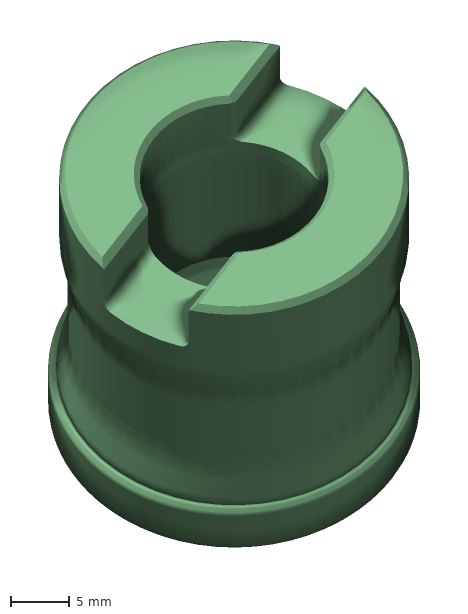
import cadquery as cq
import math

TOTAL_HEIGHT = 32.0
DISC_HEIGHT = 5.5

DISC_DIAMETER = 31.95
DISC_TOP_CHAMFER = 0.48
DISC_TOP_ROUNDING = 0.4
DISC_BOTTOM_CHAMFER = 0.5
DISC_BOTTOM_ROUNDING = 0.5

HEAD_DIAMETER = 30.0
WAIST_DIAMETER = 28.55
FOOT_DIAMETER = 30.53
FOOT_LAND_TOP = 5.9
HEAD_LAND_BOTTOM = 23.52
RIM_CHAMFER = 0.5
FOOT_TAPER_ANGLE = 15.0
FOOT_ROUNDING = 2.0
HEAD_TAPER_ANGLE = 12.0
HEAD_ROUNDING = 5.0
WAIST_ROUNDING = 10.0

SLOT_WIDTH = 8.5
SLOT_DEPTH = 5.75
SLOT_CHAMFER = 0.6
SLOT_FLOOR_ROUNDING = 0.8
SLOT_MOUTH_ROUNDING = 1.0
SLOT_OVERRUN = 1.6

MOUTH_DIAMETER = 16.2
MOUTH_CHAMFER = 0.5
MOUTH_DEPTH = 5.85
BORE_DIAMETER = 16.0
LEAD_IN_HEIGHT = 1.2
FLOOR_CONE_DIAMETER = 14.6
FLOOR_CONE_ANGLE = 30.0
FLOOR_ROUNDING = 0.5
FLOOR_THICKNESS = 4.48
HOLE_DIAMETER = 8.4
HOLE_CHAMFER = 0.5

SLOT_FLOOR_Z = TOTAL_HEIGHT - SLOT_DEPTH
BORE_FLOOR_Z = DISC_HEIGHT + FLOOR_THICKNESS


def arc_size(radius, angle):
    """Radial width and height of an arc that turns from vertical by the angle."""
    turn = math.radians(angle)
    return radius * (1 - math.cos(turn)), radius * math.sin(turn)


def cone_height(outer_diameter, width_of_arcs, angle):
    """Height of the cone that spans what the two arcs leave of the step to the waist."""
    step = (outer_diameter - WAIST_DIAMETER) / 2
    return (step - width_of_arcs) / math.tan(math.radians(angle))


def make_housing_blank():
    """Solid of revolution: foot land, lower taper, waist, upper taper, head."""
    foot_r = FOOT_DIAMETER / 2
    waist_r = WAIST_DIAMETER / 2
    head_r = HEAD_DIAMETER / 2

    foot_arc_w, foot_arc_h = arc_size(FOOT_ROUNDING, FOOT_TAPER_ANGLE)
    low_arc_w, low_arc_h = arc_size(WAIST_ROUNDING, FOOT_TAPER_ANGLE)
    low_cone_h = cone_height(FOOT_DIAMETER, foot_arc_w + low_arc_w, FOOT_TAPER_ANGLE)
    low_cone_bottom = FOOT_LAND_TOP + foot_arc_h
    low_cone_top = low_cone_bottom + low_cone_h

    head_arc_w, head_arc_h = arc_size(HEAD_ROUNDING, HEAD_TAPER_ANGLE)
    high_arc_w, high_arc_h = arc_size(WAIST_ROUNDING, HEAD_TAPER_ANGLE)
    high_cone_h = cone_height(HEAD_DIAMETER, head_arc_w + high_arc_w, HEAD_TAPER_ANGLE)
    high_cone_top = HEAD_LAND_BOTTOM - head_arc_h
    high_cone_bottom = high_cone_top - high_cone_h

    profile = (
        cq.Workplane("XZ")
        .moveTo(0, DISC_HEIGHT)
        .lineTo(foot_r, DISC_HEIGHT)
        .lineTo(foot_r, FOOT_LAND_TOP)
        .tangentArcPoint((foot_r - foot_arc_w, low_cone_bottom), relative=False)
        .lineTo(waist_r + low_arc_w, low_cone_top)
        .tangentArcPoint((waist_r, low_cone_top + low_arc_h), relative=False)
        .lineTo(waist_r, high_cone_bottom - high_arc_h)
        .tangentArcPoint((waist_r + high_arc_w, high_cone_bottom), relative=False)
        .lineTo(head_r - head_arc_w, high_cone_top)
        .tangentArcPoint((head_r, HEAD_LAND_BOTTOM), relative=False)
        .lineTo(head_r, TOTAL_HEIGHT - RIM_CHAMFER)
        .lineTo(head_r - RIM_CHAMFER, TOTAL_HEIGHT)
        .lineTo(0, TOTAL_HEIGHT)
        .close()
    )
    return profile.revolve(360, (0, 0), (0, 1))


def make_bore():
    """Stepped bore from the top face down to its coned floor, with the screw hole below it."""
    mouth_r = MOUTH_DIAMETER / 2
    bore_r = BORE_DIAMETER / 2
    hole_r = HOLE_DIAMETER / 2
    cone_r = FLOOR_CONE_DIAMETER / 2
    tilt = math.radians(FLOOR_CONE_ANGLE)
    flat_r = cone_r - FLOOR_ROUNDING * math.sin(tilt)
    cone_bottom = BORE_FLOOR_Z + FLOOR_ROUNDING * (1 - math.cos(tilt))
    cone_top = cone_bottom + (bore_r - cone_r) * math.tan(tilt)
    mouth_bottom = TOTAL_HEIGHT - MOUTH_DEPTH
    profile = (
        cq.Workplane("XZ")
        .moveTo(0, DISC_HEIGHT)
        .lineTo(hole_r, DISC_HEIGHT)
        .lineTo(hole_r, BORE_FLOOR_Z - HOLE_CHAMFER)
        .lineTo(hole_r + HOLE_CHAMFER, BORE_FLOOR_Z)
        .lineTo(flat_r, BORE_FLOOR_Z)
        .tangentArcPoint((cone_r, cone_bottom), relative=False)
        .lineTo(bore_r, cone_top)
        .lineTo(bore_r, mouth_bottom - LEAD_IN_HEIGHT)
        .lineTo(mouth_r, mouth_bottom)
        .lineTo(mouth_r, TOTAL_HEIGHT - MOUTH_CHAMFER)
        .lineTo(mouth_r + MOUTH_CHAMFER, TOTAL_HEIGHT)
        .lineTo(0, TOTAL_HEIGHT)
        .close()
    )
    return profile.revolve(360, (0, 0), (0, 1))


def make_slot():
    """Slot along Y, joined to the bore mouth by rounded corners, with a rounded floor edge."""
    length = HEAD_DIAMETER + 2 * SLOT_OVERRUN
    floor = cq.Workplane("XY").workplane(offset=SLOT_FLOOR_Z)
    mouth = floor.circle(MOUTH_DIAMETER / 2).extrude(SLOT_DEPTH)
    corner_region = cq.selectors.BoxSelector(
        (-SLOT_WIDTH, -MOUTH_DIAMETER / 2, SLOT_FLOOR_Z),
        (SLOT_WIDTH, MOUTH_DIAMETER / 2, TOTAL_HEIGHT),
    )
    slot = floor.rect(SLOT_WIDTH, length).extrude(SLOT_DEPTH).union(mouth)
    slot = slot.edges("|Z").edges(corner_region).fillet(SLOT_MOUTH_ROUNDING)
    return slot.faces("<Z").edges().fillet(SLOT_FLOOR_ROUNDING)


def make_slot_chamfer():
    """Wedge along Y that breaks both upper edges of the slot."""
    half_width = SLOT_WIDTH / 2
    profile = (
        cq.Workplane("XZ")
        .moveTo(-half_width - SLOT_CHAMFER, TOTAL_HEIGHT)
        .lineTo(-half_width, TOTAL_HEIGHT - SLOT_CHAMFER)
        .lineTo(half_width, TOTAL_HEIGHT - SLOT_CHAMFER)
        .lineTo(half_width + SLOT_CHAMFER, TOTAL_HEIGHT)
        .close()
    )
    return profile.extrude(HEAD_DIAMETER / 2, both=True)


def make_housing():
    """Housing with its bore and the cross slot in its head."""
    blank = make_housing_blank()
    return blank.cut(make_bore()).cut(make_slot()).cut(make_slot_chamfer())


def finish_rim(disc, end, chamfer, rounding):
    """Chamfer the rim at one end (">Z" or "<Z") and round both edges of that chamfer."""
    chamfered = disc.edges(end).chamfer(chamfer)
    chamfer_edges = chamfered.faces("%CONE").faces(end).edges("%CIRCLE")
    return chamfer_edges.fillet(rounding)


def make_disc():
    """Foot disc with chamfered and rounded rims, bored for the screw."""
    disc = cq.Workplane("XY").circle(DISC_DIAMETER / 2).extrude(DISC_HEIGHT)
    disc = finish_rim(disc, ">Z", DISC_TOP_CHAMFER, DISC_TOP_ROUNDING)
    disc = finish_rim(disc, "<Z", DISC_BOTTOM_CHAMFER, DISC_BOTTOM_ROUNDING)
    return disc.faces(">Z").workplane().hole(HOLE_DIAMETER)


housing = make_housing()
disc = make_disc()

result = cq.Compound.makeCompound([housing.val(), disc.val()])